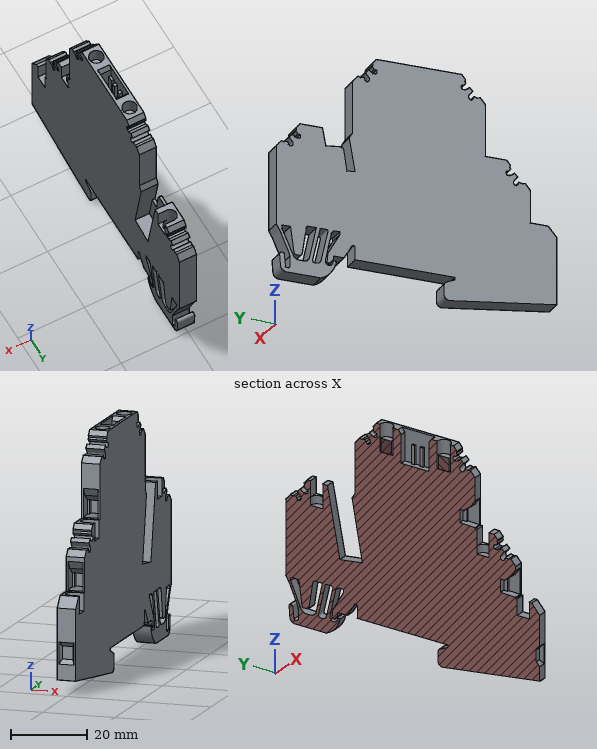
import cadquery as cq


thickness = 5.1
length = 80.2
height = 65.9
mid_x = thickness / 2

tower_front_y = 20.4
tower_rear_y = 58.4
tower_mid_y = (tower_front_y + tower_rear_y) / 2
upper_step_z = 43.45
upper_step_front_y = 7.5
lower_step_z = 26.5
lower_step_chamfer_y = 2.5
lower_step_chamfer_z = 2.9
front_bottom_z = 4.25
rail_z = 7.0
foot_arm_z = 13.4

screw_spacing = 18.1
screw_hole_radius = 2.0
screw_radius = 1.8
screw_hole_depth = 8.0
screw_length = 4.0
notch_radius = 1.85
notch_depth = 4.8
notch_hole_depth = 7.2
rear_notch_y = 70.4
middle_notch_y = 17.9
front_notch_y = 5.2

pocket_length = 10.4
pocket_width = 3.5
pocket_min_x = 0.7
pocket_depth = 9.6
pocket_end_slope = 0.9
pocket_slope_depth = 1.2
rib_drop = 4.0
rib_length = 1.0
rib_spacing = 2.65
left_rib_width = 1.0
right_rib_width = 0.6
corner_rib_length = 1.6
corner_rib_width = 0.7

entry_width = 4.1
entry_depth = 3.6
socket_width = 3.0
socket_depth = 1.2
entry_floor_lift = 0.3
entry_roof_lift = 8.1
entry_roof_break_lift = 5.9
entry_roof_break_depth = 1.45
socket_roof_lift = 4.25
entry_floor_rise = 0.2
funnel_depth = 1.05
funnel_top_z = 14.5
funnel_bottom_z = 8.6
socket_top_z = 13.3
socket_bottom_z = 9.8

thin_wall = 0.9
rear_terminal_front = (66.95, upper_step_z)
thin_wall_top_z = 38.4
tower_rear_bulge = (59.3, 41.85)
flex_slot_corner = (57.65, 32.5)
recess_rear_corner = (63.0, 22.85)
recess_front_z = 23.8


def side_profile(y, z):
    """Start a profile in the YZ plane, on the X = 0 side."""
    return cq.Workplane("YZ").moveTo(y, z)


def point_on_line(start, end, z):
    """The (Y, Z) point at height z on the line through two points."""
    share = (z - start[1]) / (end[1] - start[1])
    return start[0] + share * (end[0] - start[0]), z


def box(x0, x1, y0, y1, z0, z1):
    return cq.Workplane("XY").box(x1 - x0, y1 - y0, z1 - z0, centered=False).translate((x0, y0, z0))


def make_blank():
    """The full silhouette, with square corners where the marker steps are cut later."""
    outline = (
        side_profile(tower_rear_y, height)
        .lineTo(tower_front_y, height)
        .lineTo(tower_front_y, upper_step_z)
        .lineTo(upper_step_front_y, upper_step_z)
        .lineTo(upper_step_front_y, lower_step_z)
        .lineTo(lower_step_chamfer_y, lower_step_z)
        .lineTo(0, lower_step_z - lower_step_chamfer_z)
        .lineTo(0, front_bottom_z)
        .lineTo(30.6, 0)
        .threePointArc((31.8, 0.5), (32.2, 1.6))
        .lineTo(32.2, 4.25)
        .threePointArc((31.9, 4.9), (31.1, 5.4))
        .lineTo(29.1, 6.3)
        .lineTo(29.1, rail_z)
        .lineTo(tower_rear_y - 0.7, rail_z)
        .lineTo(57.65, 10.6)
        .threePointArc((58.0, 11.0), (58.5, 10.6))
        .lineTo(60.8, rail_z)
        .lineTo(63.7, rail_z)
        .lineTo(63.8, 5.9)
        .lineTo(64.8, 4.8)
        .lineTo(65.65, 4.7)
        .lineTo(65.4, 7.45)
        .lineTo(62.0, 13.5)
        .lineTo(62.0, 14.3)
        .lineTo(63.65, 14.3)
        .lineTo(64.3, 13.6)
        .lineTo(66.15, 5.4)
        .threePointArc((65.1, 4.1), (64.0, 5.0))
        .lineTo(64.0, 5.5)
        .lineTo(62.9, 5.5)
        .threePointArc((64.4, 2.25), (67.4, 0))
        .lineTo(77.4, 0)
        .threePointArc((78.5, 0.6), (79.0, 1.6))
        .lineTo(79.2, 4.9)
        .threePointArc((78.5, 5.5), (77.85, 5.0))
        .lineTo(77.5, 1.5)
        .threePointArc((76.7, 1.3), (76.25, 1.85))
        .lineTo(76.25, 4.7)
        .lineTo(76.65, 5.9)
        .lineTo(79.05, 11.5)
        .lineTo(length, foot_arm_z)
        .lineTo(length, upper_step_z)
        .lineTo(*rear_terminal_front)
        .lineTo(*point_on_line(rear_terminal_front, recess_rear_corner, thin_wall_top_z))
        .lineTo(61.9, 38.9)
        .threePointArc((61.2, 38.6), (60.85, 37.85))
        .lineTo(60.0, 32.15)
        .lineTo(*flex_slot_corner)
        .lineTo(*tower_rear_bulge)
        .lineTo(tower_rear_y, upper_step_z)
        .close()
    )
    return outline.extrude(thickness)


def marker_step_cutter(face_y, top_z, outward):
    """Material removed at a top corner, leaving the notched marker steps.

    Offsets are measured outward from the inner end of the steps and down from the top.
    """
    step_width = 6.8
    step_drop = 7.5
    clearance = 0.8

    def at(out, down):
        return face_y + outward * (out - step_width), top_z - down

    return (
        side_profile(*at(0, 0))
        .lineTo(*at(1.1, 1.4))
        .lineTo(*at(1.0, 1.85))
        .lineTo(*at(1.2, 2.3))
        .lineTo(*at(0.65, 3.05))
        .lineTo(*at(0, 3.1))
        .threePointArc(at(-0.2, 3.7), at(0.25, 4.25))
        .lineTo(*at(1.0, 4.25))
        .lineTo(*at(1.7, 3.85))
        .lineTo(*at(2.25, 3.4))
        .lineTo(*at(3.2, 4.3))
        .lineTo(*at(2.1, 5.7))
        .threePointArc(at(2.1, 6.5), at(2.9, 6.9))
        .lineTo(*at(3.3, 6.4))
        .lineTo(*at(3.5, 5.8))
        .lineTo(*at(4.5, 6.0))
        .lineTo(*at(5.3, 5.8))
        .lineTo(*at(step_width, step_drop))
        .lineTo(*at(step_width + clearance, step_drop))
        .lineTo(*at(step_width + clearance, -clearance))
        .lineTo(*at(0, -clearance))
        .close()
        .extrude(thickness)
    )


def spring_foot_windows():
    """Two through windows that leave the spring arms and the central tongue of the foot."""
    tongue_window = (
        side_profile(78.6, 13.3)
        .lineTo(76.1, 13.3)
        .lineTo(75.1, 6.2)
        .threePointArc((74.9, 5.6), (74.4, 5.45))
        .lineTo(73.4, 5.45)
        .threePointArc((72.95, 5.7), (72.7, 6.2))
        .lineTo(71.5, 13.95)
        .lineTo(71.2, 14.3)
        .lineTo(68.7, 14.3)
        .lineTo(70.6, 5.45)
        .threePointArc((71.2, 4.5), (72.3, 4.1))
        .lineTo(73.9, 4.1)
        .threePointArc((74.8, 4.5), (75.4, 5.45))
        .lineTo(78.6, 12.4)
        .close()
        .extrude(thickness)
    )
    arm_window = (
        side_profile(67.6, 14.3)
        .lineTo(65.8, 14.3)
        .threePointArc((65.5, 14.1), (65.4, 13.6))
        .lineTo(67.35, 5.1)
        .threePointArc((67.75, 4.4), (68.5, 4.1))
        .lineTo(69.3, 4.1)
        .threePointArc((69.7, 4.3), (69.75, 4.8))
        .close()
        .extrude(thickness)
    )
    return tongue_window.union(arm_window)


def rear_recess():
    """Deep recess beside the thin rear wall, open to the far side."""
    return (
        side_profile(*rear_terminal_front)
        .lineTo(*recess_rear_corner)
        .lineTo(*point_on_line(tower_rear_bulge, flex_slot_corner, recess_front_z))
        .lineTo(*tower_rear_bulge)
        .lineTo(tower_rear_y, upper_step_z)
        .close()
        .extrude(thickness - thin_wall)
        .translate((thin_wall, 0, 0))
    )


def vertical_cylinder(y, bottom_z, radius, tall):
    return cq.Workplane("XY").circle(radius).extrude(tall).translate((mid_x, y, bottom_z))


def screw_notch(y, top_z):
    """U-shaped notch with a round closed end, open to the far side."""
    floor_z = top_z - notch_depth
    round_end = vertical_cylinder(y, floor_z, notch_radius, notch_depth)
    mouth = box(mid_x, thickness, y - notch_radius, y + notch_radius, floor_z, top_z)
    return round_end.union(mouth)


def test_pocket():
    """Pocket with sloped end lead-ins, and guide ribs left standing on its long walls."""
    half = pocket_length / 2
    inner_half = half - pocket_end_slope
    floor_z = height - pocket_depth
    slope_z = height - pocket_slope_depth
    max_x = pocket_min_x + pocket_width
    cavity = (
        side_profile(tower_mid_y - half, height)
        .lineTo(tower_mid_y - inner_half, slope_z)
        .lineTo(tower_mid_y - inner_half, floor_z)
        .lineTo(tower_mid_y + inner_half, floor_z)
        .lineTo(tower_mid_y + inner_half, slope_z)
        .lineTo(tower_mid_y + half, height)
        .close()
        .extrude(pocket_width)
        .translate((pocket_min_x, 0, 0))
    )
    rib_top_z = height - rib_drop
    for side in (-1, 1):
        rib_y = tower_mid_y + side * rib_spacing / 2
        y0 = rib_y - rib_length / 2
        y1 = rib_y + rib_length / 2
        cavity = cavity.cut(box(pocket_min_x, pocket_min_x + left_rib_width, y0, y1, floor_z, rib_top_z))
        cavity = cavity.cut(box(max_x - right_rib_width, max_x, y0, y1, floor_z, rib_top_z))
        end_y = tower_mid_y + side * inner_half
        inner_y = end_y - side * corner_rib_length
        y0, y1 = sorted((end_y, inner_y))
        cavity = cavity.cut(box(pocket_min_x, pocket_min_x + corner_rib_width, y0, y1, floor_z, rib_top_z))
    return cavity


def stepped_wire_entry(face_y, step_z):
    """Wire entry just above a step: a two-slope roof that leads to a narrower socket."""
    floor_z = step_z + entry_floor_lift
    socket_floor_z = floor_z + entry_floor_rise
    socket_roof_z = step_z + socket_roof_lift
    back_y = face_y + entry_depth
    mouth = (
        side_profile(face_y, floor_z)
        .lineTo(face_y, step_z + entry_roof_lift)
        .lineTo(face_y + entry_roof_break_depth, step_z + entry_roof_break_lift)
        .lineTo(back_y, socket_roof_z)
        .lineTo(back_y, socket_floor_z)
        .close()
        .extrude(entry_width)
        .translate((mid_x - entry_width / 2, 0, 0))
    )
    socket = box(
        mid_x - socket_width / 2,
        mid_x + socket_width / 2,
        back_y,
        back_y + socket_depth,
        socket_floor_z,
        socket_roof_z,
    )
    return mouth.union(socket)


def lower_wire_entry():
    """Shallow four-sided funnel in the lowest front face."""
    mouth_height = funnel_top_z - funnel_bottom_z
    mouth_mid_z = (funnel_top_z + funnel_bottom_z) / 2
    back_height = socket_top_z - socket_bottom_z
    back_mid_z = (socket_top_z + socket_bottom_z) / 2
    return (
        cq.Workplane("XZ")
        .center(mid_x, mouth_mid_z)
        .rect(entry_width, mouth_height)
        .workplane(offset=-funnel_depth)
        .center(0, back_mid_z - mouth_mid_z)
        .rect(socket_width, back_height)
        .loft(ruled=True)
    )


def screw_positions():
    return [tower_mid_y - screw_spacing / 2, tower_mid_y + screw_spacing / 2]


def make_housing():
    body = make_blank()

    for face_y, top_z, outward in (
        (tower_front_y, height, -1),
        (tower_rear_y, height, 1),
        (upper_step_front_y, upper_step_z, -1),
        (length, upper_step_z, 1),
    ):
        body = body.cut(marker_step_cutter(face_y, top_z, outward))

    body = body.cut(spring_foot_windows())
    body = body.cut(rear_recess())

    for y in (rear_notch_y, middle_notch_y):
        body = body.cut(screw_notch(y, upper_step_z))
        hole_floor_z = upper_step_z - notch_hole_depth
        body = body.cut(vertical_cylinder(y, hole_floor_z, notch_radius, notch_hole_depth))
    body = body.cut(screw_notch(front_notch_y, lower_step_z))

    for y in screw_positions():
        body = body.cut(vertical_cylinder(y, height - screw_hole_depth, screw_hole_radius, screw_hole_depth))
    body = body.cut(test_pocket())

    body = body.cut(stepped_wire_entry(tower_front_y, upper_step_z))
    body = body.cut(stepped_wire_entry(upper_step_front_y, lower_step_z))
    return body.cut(lower_wire_entry())


def make_screw(y):
    """Plain cylindrical screw head standing on the floor of its hole."""
    return vertical_cylinder(y, height - screw_hole_depth, screw_radius, screw_length)


housing = make_housing()
screws = [make_screw(y) for y in screw_positions()]

result = cq.Compound.makeCompound([housing.val(), *[screw.val() for screw in screws]])